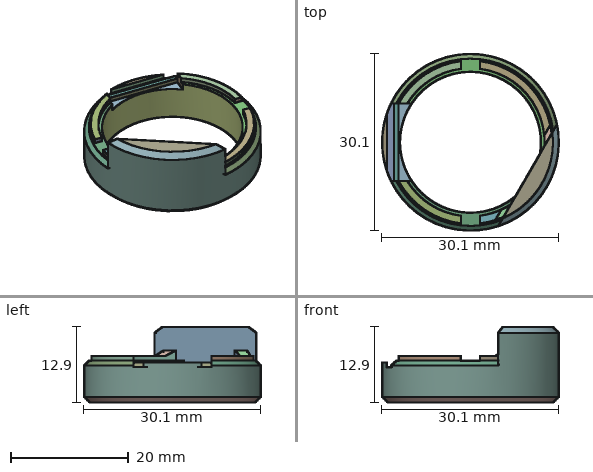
import cadquery as cq

outer_radius = 15.03
bore_radius = 11.95
ring_height = 7.12
bottom_chamfer = 1.0
ring_top_chamfer = 0.8

segment_height = 12.87
segment_chamfer = 1.0
flat_angle = -30.0
flat_distance = 11.2

rib_inner_radius = 12.6
rib_outer_radius = 13.9
rib_height = 0.8
rib_gap = 3.25
ramp_size = 0.93

pocket_width = 13.23
pocket_floor = 6.0
bar_height = 0.8
bar_outer_x = -13.02
bar_inner_x = -12.2
lip_inner_x = -14.2

rib_top = ring_height + rib_height
span = 2 * outer_radius


def disc(radius, height, base=0.0):
    return cq.Workplane("XY").workplane(offset=base).circle(radius).extrude(height)


def box_between(x_min, x_max, width, z_min, z_max):
    """Box centred on the X axis."""
    return (
        cq.Workplane("XY")
        .box(x_max - x_min, width, z_max - z_min, centered=(False, True, False))
        .translate((x_min, 0, z_min))
    )


def beyond_flat(height):
    """Everything outside the slanted flat, up to the given height."""
    block = box_between(flat_distance, flat_distance + span, 2 * span, 0, height)
    return block.rotate((0, 0, 0), (0, 0, 1), flat_angle)


def chamfered_disc(height, top_chamfer):
    body = disc(outer_radius, height)
    return body.faces(">Z").chamfer(top_chamfer).faces("<Z").chamfer(bottom_chamfer)


def make_ring():
    return chamfered_disc(ring_height, ring_top_chamfer).cut(disc(bore_radius, ring_height))


def make_segment():
    return chamfered_disc(segment_height, segment_chamfer).intersect(beyond_flat(segment_height))


def rib_band(height):
    band = disc(rib_outer_radius, height, ring_height)
    return band.cut(disc(rib_inner_radius, height, ring_height))


def make_ribs():
    gaps = box_between(-rib_gap / 2, rib_gap / 2, span, ring_height, rib_top)
    return rib_band(rib_height).cut(gaps)


def make_ramps():
    """Wedge along the flat, trimmed to the band of the ribs."""
    wedge = (
        cq.Workplane("XZ")
        .moveTo(flat_distance - ramp_size, rib_top)
        .lineTo(flat_distance, rib_top + ramp_size)
        .lineTo(flat_distance, ring_height)
        .lineTo(flat_distance - ramp_size, ring_height)
        .close()
        .extrude(outer_radius, both=True)
        .rotate((0, 0, 0), (0, 0, 1), flat_angle)
    )
    return wedge.intersect(rib_band(rib_height + ramp_size))


def make_pocket():
    """Material removed on the -X side, sparing the bar and the lip."""
    bar_top = pocket_floor + bar_height
    pocket = box_between(-outer_radius, 0, pocket_width, pocket_floor, rib_top)
    bar = box_between(bar_outer_x, bar_inner_x, pocket_width, pocket_floor, bar_top)
    return pocket.cut(bar)


def make_lip():
    height = pocket_floor + bar_height - bottom_chamfer
    full_disc = disc(outer_radius, height, bottom_chamfer)
    lip_block = box_between(-outer_radius, lip_inner_x, pocket_width, 0, segment_height)
    return full_disc.intersect(lip_block)


result = (
    make_ring()
    .union(make_ribs())
    .union(make_ramps())
    .cut(make_pocket())
    .union(make_lip())
    .union(make_segment())
)